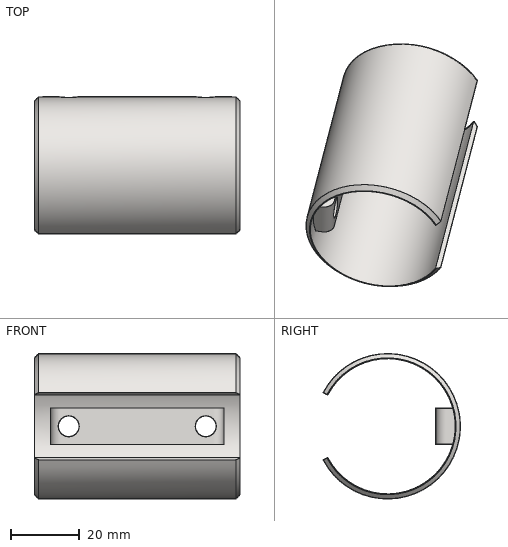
import cadquery as cq
import math

length = 60.0
outer_diameter = 42.4
wall = 1.5
end_chamfer = 1.25
opening_half_angle = 27.5

block_length = 50.65
block_height = 10.55
block_depth = 7.2
block_corner_radius = 3.0

hole_diameter = 6.0
hole_spacing = 39.95

outer_radius = outer_diameter / 2
inner_radius = outer_radius - wall


def cylinder_along_x(radius):
    return cq.Workplane("YZ").circle(radius).extrude(length / 2, both=True)


def make_sleeve():
    """Tube with chamfered outer end edges and a radial-sided opening toward -Y."""
    body = cylinder_along_x(outer_radius).faces("<X or >X").chamfer(end_chamfer)
    body = body.cut(cylinder_along_x(inner_radius))
    wedge_reach = 2 * outer_radius
    wedge_half_width = wedge_reach * math.tan(math.radians(opening_half_angle))
    wedge = (
        cq.Workplane("YZ")
        .polyline([(0, 0), (-wedge_reach, wedge_half_width), (-wedge_reach, -wedge_half_width)])
        .close()
        .extrude(length / 2, both=True)
    )
    return body.cut(wedge)


def make_block():
    """Block with rounded inner ends, its back following the sleeve."""
    inner_face = outer_radius - block_depth
    block = (
        cq.Workplane("XY")
        .box(block_length, block_depth, block_height)
        .translate((0, inner_face + block_depth / 2, 0))
        .edges("|Z and <Y")
        .fillet(block_corner_radius)
    )
    mid_wall_radius = outer_radius - wall / 2
    return block.intersect(cylinder_along_x(mid_wall_radius))


def make_holes():
    return (
        cq.Workplane("XZ")
        .pushPoints([(-hole_spacing / 2, 0), (hole_spacing / 2, 0)])
        .circle(hole_diameter / 2)
        .extrude(-outer_diameter)
    )


result = make_sleeve().union(make_block()).cut(make_holes())